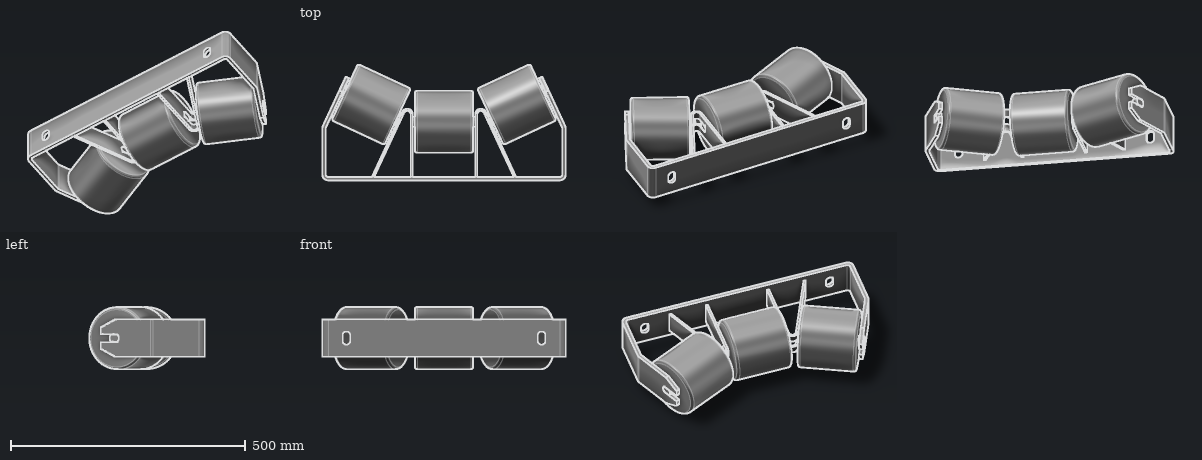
import cadquery as cq
import math

TILT = 25.0
TILT_COS = math.cos(math.radians(TILT))
TILT_SIN = math.sin(math.radians(TILT))

ROLLER_LENGTH = 125.0
ROLLER_DIAMETER = 133.0
ROLLER_EDGE_RADIUS = 5.0
SHAFT_DIAMETER = 22.0
SHAFT_FLAT_WIDTH = 15.0
PLATE_GAP = 4.0
PLATE_OFFSET = ROLLER_LENGTH / 2 + PLATE_GAP

FRAME_LENGTH = 520.0
FRAME_WIDTH = 80.0
FRAME_THICKNESS = 8.0
FRAME_BEND_RADIUS = 13.0
FRAME_BACK_Y = -125.5
FRAME_INNER_Y = FRAME_BACK_Y + FRAME_THICKNESS
ARM_CORNER_Y = -11.5
ARM_LENGTH = 119.0
ARM_TIP_WIDTH = 47.0
ARM_TAPER_LENGTH = 33.0
MOUNT_SLOT_SPACING = 416.5
MOUNT_SLOT_WIDTH = 16.5
MOUNT_SLOT_HEIGHT = 28.0

BRACKET_WIDTH = 51.0
BRACKET_THICKNESS = 4.5
BRACKET_BEND_RADIUS = 12.0

SHAFT_SLOT_WIDTH = 17.0

OUTER_ROLLER_Y = 37.0
ARM_OUTER_DISTANCE = PLATE_OFFSET + FRAME_THICKNESS
OUTER_ROLLER_X = (
    FRAME_LENGTH / 2
    - (OUTER_ROLLER_Y - ARM_CORNER_Y) * TILT_SIN / TILT_COS
    - ARM_OUTER_DISTANCE / TILT_COS
)


def place_outer(shape):
    """Move a shape modelled about a centred roller on the X axis to the +X outer roller."""
    return shape.rotate((0, 0, 0), (0, 0, 1), TILT).translate((OUTER_ROLLER_X, OUTER_ROLLER_Y, 0))


def mirror_x(shape):
    return shape.mirror("YZ")


def bent_strip(corners, thickness, width, bend_radius):
    """Sweep a strip of the given width along a centre line, with bends of that outside radius."""
    path = cq.Wire.makePolygon([cq.Vector(x, y, 0) for x, y in corners])
    path = path.fillet(bend_radius - thickness / 2, path.Vertices()[1:-1])
    section_plane = cq.Plane(path.startPoint(), xDir=(0, 0, 1), normal=path.tangentAt(0))
    return cq.Workplane(section_plane).rect(width, thickness).sweep(cq.Workplane(path))


def shaft_slot(start_x, depth):
    """Cutter for a slot open towards +Y, with a round seat for a shaft lying on the X axis."""
    half_width = SHAFT_SLOT_WIDTH / 2
    seat_y = -math.sqrt((SHAFT_DIAMETER / 2) ** 2 - half_width**2)
    return (
        cq.Workplane("YZ", origin=(start_x, 0, 0))
        .moveTo(ROLLER_DIAMETER, half_width)
        .lineTo(seat_y, half_width)
        .threePointArc((-SHAFT_DIAMETER / 2, 0), (seat_y, -half_width))
        .lineTo(ROLLER_DIAMETER, -half_width)
        .close()
        .extrude(depth)
    )


def shaft_end(plate_thickness):
    """Shaft stub on the +X end of a roller: round up to the plate, flatted inside it."""
    roller_face = cq.Workplane("YZ", origin=(ROLLER_LENGTH / 2, 0, 0))
    neck = roller_face.circle(SHAFT_DIAMETER / 2).extrude(PLATE_GAP)
    plate_plane = cq.Workplane("YZ", origin=(PLATE_OFFSET, 0, 0))
    tongue = plate_plane.circle(SHAFT_DIAMETER / 2).extrude(plate_thickness)
    flats = plate_plane.rect(SHAFT_DIAMETER, SHAFT_FLAT_WIDTH).extrude(plate_thickness)
    return neck.union(tongue.intersect(flats))


def make_roller(left_plate, right_plate):
    """Roller with its shaft, centred on the X axis, for plates of the given thicknesses."""
    drum = (
        cq.Workplane("YZ", origin=(-ROLLER_LENGTH / 2, 0, 0))
        .circle(ROLLER_DIAMETER / 2)
        .extrude(ROLLER_LENGTH)
        .edges("%CIRCLE")
        .fillet(ROLLER_EDGE_RADIUS)
    )
    return drum.union(shaft_end(right_plate)).union(mirror_x(shaft_end(left_plate)))


def frame_strip():
    """Bent strip of the frame, before its slots and tapers."""
    half_thickness = FRAME_THICKNESS / 2
    side_x = FRAME_LENGTH / 2 - half_thickness
    back_y = FRAME_BACK_Y + half_thickness
    arm_y = ARM_CORNER_Y - half_thickness * math.tan(math.radians(TILT / 2))
    tip_x = FRAME_LENGTH / 2 - ARM_LENGTH * TILT_SIN - half_thickness * TILT_COS
    tip_y = ARM_CORNER_Y + ARM_LENGTH * TILT_COS - half_thickness * TILT_SIN
    right_half = [(side_x, back_y), (side_x, arm_y), (tip_x, tip_y)]
    left_half = [(-x, y) for x, y in reversed(right_half)]
    return bent_strip(left_half + right_half, FRAME_THICKNESS, FRAME_WIDTH, FRAME_BEND_RADIUS)


def arm_tapers():
    """Cutter for the two tapered corners of the +X arm tip."""
    corner_dx = FRAME_LENGTH / 2 - OUTER_ROLLER_X
    corner_dy = ARM_CORNER_Y - OUTER_ROLLER_Y
    tip_y = corner_dy * TILT_COS - corner_dx * TILT_SIN + ARM_LENGTH
    corner = (
        cq.Workplane("YZ", origin=(PLATE_OFFSET, 0, 0))
        .moveTo(tip_y - ARM_TAPER_LENGTH, FRAME_WIDTH / 2)
        .lineTo(tip_y, ARM_TIP_WIDTH / 2)
        .lineTo(tip_y, FRAME_WIDTH / 2)
        .close()
        .extrude(FRAME_THICKNESS)
    )
    return place_outer(corner.union(corner.mirror("XY")))


def mounting_slots():
    """Cutter for the two upright slots through the back plate."""
    return (
        cq.Workplane("XZ", origin=(0, FRAME_INNER_Y, 0))
        .pushPoints([(-MOUNT_SLOT_SPACING / 2, 0), (MOUNT_SLOT_SPACING / 2, 0)])
        .slot2D(MOUNT_SLOT_HEIGHT, MOUNT_SLOT_WIDTH, 90)
        .extrude(FRAME_THICKNESS)
    )


def make_frame():
    frame = frame_strip().cut(mounting_slots())
    arm_cut = arm_tapers().union(place_outer(shaft_slot(PLATE_OFFSET, FRAME_THICKNESS)))
    return frame.cut(arm_cut).cut(mirror_x(arm_cut))


def make_bracket():
    """Folded bracket on the +X side: an upright leg and a leg parallel to the outer roller's end."""
    leg_distance = PLATE_OFFSET + BRACKET_THICKNESS / 2
    tilted_leg_shift = (OUTER_ROLLER_X - leg_distance) * TILT_COS - leg_distance
    top_y = OUTER_ROLLER_Y + tilted_leg_shift / TILT_SIN
    foot_y = FRAME_BACK_Y
    tilted_foot_x = leg_distance + (top_y - foot_y) * TILT_SIN / TILT_COS
    bracket = bent_strip(
        [(leg_distance, foot_y), (leg_distance, top_y), (tilted_foot_x, foot_y)],
        BRACKET_THICKNESS,
        BRACKET_WIDTH,
        BRACKET_BEND_RADIUS,
    )
    trim_block = cq.Workplane("XY").box(FRAME_LENGTH, FRAME_LENGTH, FRAME_WIDTH)
    trim_block = trim_block.translate((0, FRAME_INNER_Y - FRAME_LENGTH / 2, 0))
    upright_slot = shaft_slot(PLATE_OFFSET, BRACKET_BEND_RADIUS)
    tilted_slot = place_outer(mirror_x(upright_slot))
    return bracket.cut(trim_block).cut(upright_slot).cut(tilted_slot)


frame = make_frame()
middle_roller = make_roller(BRACKET_THICKNESS, BRACKET_THICKNESS)
outer_roller = place_outer(make_roller(BRACKET_THICKNESS, FRAME_THICKNESS))
bracket = make_bracket()

bodies = [frame.val(), middle_roller.val()]
for side_body in (outer_roller, bracket):
    bodies.append(side_body.val())
    bodies.append(mirror_x(side_body).val())

result = cq.Compound.makeCompound(bodies)